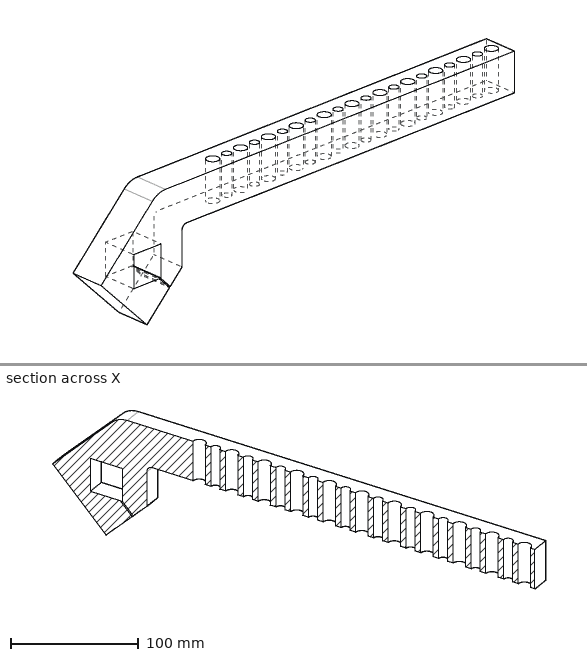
import cadquery as cq

length = 445.0
width = 32.0
total_height = 110.5
bar_height = 36.0

tip_depth = 61.0
neck_y = 87.3
outer_bend_radius = 20.0
inner_bend_radius = 5.0

window_side = 29.5
window_y = 50.0
window_z = -60.0
slit_width = 1.0
slit_offset = 1.0

large_diameter = 11.0
small_diameter = 8.0
large_count = 11
row_length = 300.0
row_end_margin = 10.0

bottom_y = total_height - tip_depth
neck_depth = total_height - (neck_y - bottom_y)


def make_body():
    outline = [
        (length, 0),
        (tip_depth, 0),
        (0, -tip_depth),
        (bottom_y, -total_height),
        (neck_y, -neck_depth),
        (neck_y, -bar_height),
        (length, -bar_height),
    ]
    body = cq.Workplane("YZ").polyline(outline).close().extrude(width / 2, both=True)
    body = round_bend(body, tip_depth, 0, outer_bend_radius)
    return round_bend(body, neck_y, -bar_height, inner_bend_radius)


def round_bend(body, y, z, radius):
    """Round the edge along X that passes through (y, z)."""
    return body.edges(cq.selectors.NearestToPointSelector((0, y, z))).fillet(radius)


def make_window():
    return cq.Workplane("XY").box(width, window_side, window_side).translate((0, window_y, window_z))


def make_slit():
    """Thin 45 degree cut from the window's lower inner corner out through the head's edge."""
    reach = bar_height
    slit = cq.Workplane("XY").box(width, reach, slit_width).translate((0, reach / 2, -slit_offset))
    slit = slit.rotate((0, 0, 0), (1, 0, 0), -45)
    return slit.translate((0, window_y + window_side / 2, window_z - window_side / 2))


def make_holes():
    """Through holes at an even pitch, starting and ending with a large one."""
    hole_count = 2 * large_count - 1
    pitch = row_length / (hole_count - 1)
    holes = cq.Workplane("XY")
    for index in range(hole_count):
        diameter = large_diameter if index % 2 == 0 else small_diameter
        y = length - row_end_margin - index * pitch
        pin = cq.Workplane("XY").center(0, y).circle(diameter / 2).extrude(-bar_height)
        holes = holes.add(pin)
    return holes.combine()


result = make_body().cut(make_window()).cut(make_slit()).cut(make_holes())